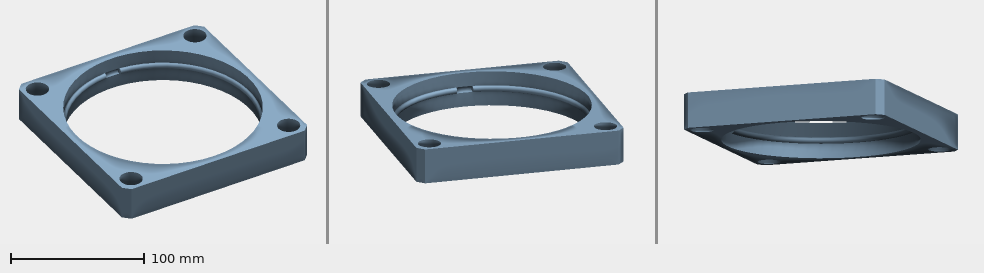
import cadquery as cq

side = 162.0
height = 27.0
corner_chamfer = 5.3
bore_radius = 75.0

hole_diameter = 17.5
hole_spacing = 137.7

wire_radius = 2.5
ring_gap = 12.6


def make_frame():
    """Square plate with chamfered corners, a large bore and four bolt holes."""
    frame = cq.Workplane("XY").box(side, side, height).edges("|Z").chamfer(corner_chamfer)
    frame = frame.faces(">Z").workplane().circle(bore_radius).cutThruAll()
    return (
        frame.faces(">Z").workplane()
        .rect(hole_spacing, hole_spacing, forConstruction=True)
        .vertices().hole(hole_diameter)
    )


def make_wire_ring():
    """Full torus centred on the bore wall."""
    return cq.Workplane(cq.Solid.makeTorus(bore_radius, wire_radius))


ring = make_wire_ring()
gap_cutter = cq.Workplane("XY").box(side, ring_gap, height)
split_ring = ring.cut(gap_cutter)

result = make_frame().cut(ring).union(split_ring)